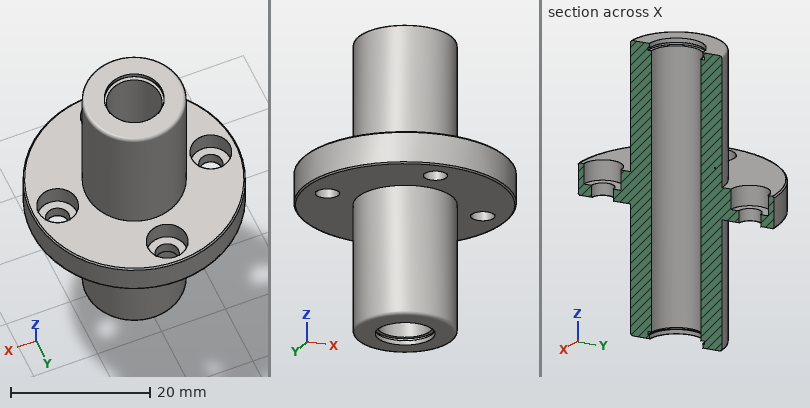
import cadquery as cq

length = 45.0
sleeve_diameter = 15.0
sleeve_edge_fillet = 0.5

bore_diameter = 8.0
lip_diameter = 8.6
lip_depth = 0.68
groove_diameter = 9.2
recess_depth = 1.1

flange_diameter = 32.0
flange_thickness = 5.0
flange_edge_chamfer = 0.22

hole_count = 4
hole_circle_diameter = 24.0
hole_diameter = 3.5
counterbore_diameter = 6.0
counterbore_depth = 3.1


def cylinder(diameter, height):
    """Cylinder on the Z axis, centred on the origin."""
    return cq.Workplane("XY").circle(diameter / 2).extrude(height).translate((0, 0, -height / 2))


def make_flange():
    flange = cylinder(flange_diameter, flange_thickness).edges().chamfer(flange_edge_chamfer)
    return (
        flange.faces(">Z").workplane()
        .polarArray(hole_circle_diameter / 2, 0, 360, hole_count)
        .cboreHole(hole_diameter, counterbore_diameter, counterbore_depth)
    )


def make_bore():
    bore = cylinder(bore_diameter, length)
    lip = cylinder(lip_diameter, lip_depth)
    groove_width = recess_depth - lip_depth
    groove = cylinder(groove_diameter, groove_width)
    lip_offset = (length - lip_depth) / 2
    groove_offset = length / 2 - lip_depth - groove_width / 2
    for side in (-1, 1):
        bore = bore.union(lip.translate((0, 0, side * lip_offset)))
        bore = bore.union(groove.translate((0, 0, side * groove_offset)))
    return bore


sleeve = cylinder(sleeve_diameter, length).edges().fillet(sleeve_edge_fillet)
result = sleeve.union(make_flange()).cut(make_bore())